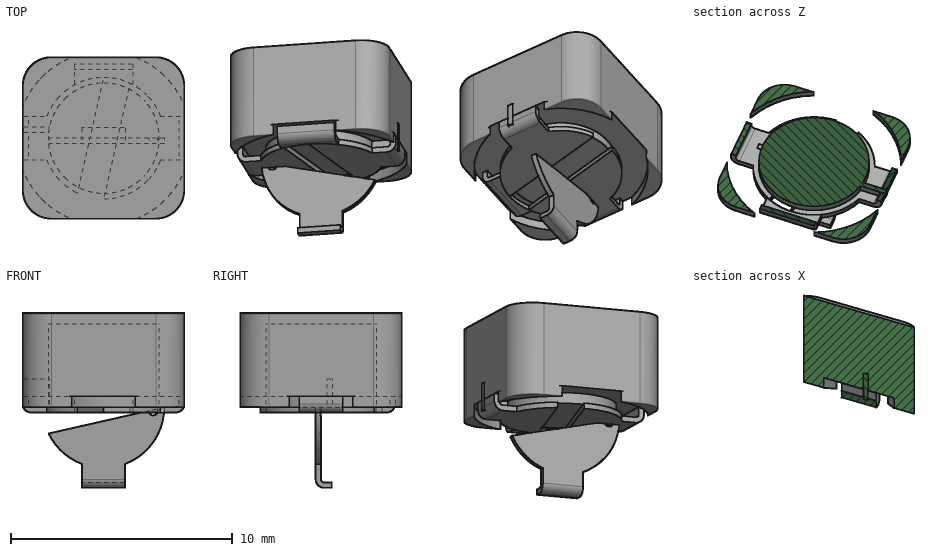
import cadquery as cq
import math

side = 7.3
height = 4.25
corner_radius = 1.3
rim_radius = 0.03
roof_thickness = 0.5
recess_diameter = 7.85
recess_height = 0.49
half_side = side / 2

core_diameter = 5.0
core_height = height - roof_thickness
key_thickness = 0.25
key_height = 1.28
key_y = 0.375

sheet = 0.25
bend_radius = 0.4
disc_radius = 2.75
tab_width = 1.96
tab_root = disc_radius - tab_width / 2
tip_top = recess_height
chord_corner_y = -2.48
wire_notch_radius = 0.2
wire_notch_x = -0.17
wire_notch_y = 2.24

clip_width = 2.64
clip_reach = 3.35


def make_core():
    """Round core with a thin locating key that runs out to the -X face of the housing."""
    core = cq.Workplane("XY").circle(core_diameter / 2).extrude(core_height)
    return core.union(make_key())


def make_key():
    """Thin upright bar from the axis of the core to the -X face of the housing."""
    key = cq.Workplane("XY").box(half_side, key_thickness, key_height, centered=(False, True, False))
    return key.translate((-half_side, key_y, 0))


def make_housing(core):
    """Cap with a blind cavity that fits the core, above a wide round recess.

    The recess is wider than the cap, so it opens a notch in the middle of each wall.
    """
    block = cq.Workplane("XY").rect(side, side).extrude(height)
    block = block.edges("|Z").fillet(corner_radius)
    block = block.faces("<Z or >Z").edges().fillet(rim_radius)
    recess = cq.Workplane("XY").circle(recess_diameter / 2).extrude(recess_height)
    return block.cut(recess).cut(core)


def make_tab(width, reach, root):
    """Strip along -X from x = -root to x = -reach, with its end bent upward."""
    inner_radius = bend_radius - sheet
    inner_face = sheet - reach
    return (
        cq.Workplane("XZ")
        .moveTo(-root, -sheet)
        .lineTo(bend_radius - reach, -sheet)
        .radiusArc((-reach, bend_radius - sheet), bend_radius)
        .lineTo(-reach, tip_top)
        .lineTo(inner_face, tip_top)
        .lineTo(inner_face, inner_radius)
        .radiusArc((inner_face + inner_radius, 0), -inner_radius)
        .lineTo(-root, 0)
        .close()
        .extrude(width / 2, both=True)
    )


def make_terminal():
    """Flat disc segment under the housing, with a bent tab on its -X side."""
    chord_corner_x = -math.sqrt(disc_radius**2 - chord_corner_y**2)
    plate = (
        cq.Workplane("XY")
        .moveTo(chord_corner_x, chord_corner_y)
        .lineTo(0, disc_radius)
        .threePointArc((-disc_radius, 0), (chord_corner_x, chord_corner_y))
        .close()
        .extrude(-sheet)
    )
    return plate.union(make_tab(tab_width, half_side, tab_root))


def make_wire_notch():
    """Round cutter that opens through the straight edge of a terminal."""
    return cq.Workplane("XY").center(wire_notch_x, wire_notch_y).circle(wire_notch_radius).extrude(-sheet)


def stand_up(body):
    """Turn a flat terminal so that its tab points to -Z and its bent tip to +Y."""
    return body.rotate((0, 0, 0), (1, 1, 1), -120)


def make_clip():
    """Bent tab on the +Y side that butts against the round edge of the terminals."""
    tab = make_tab(clip_width, clip_reach, tab_root)
    disc = cq.Workplane("XY").circle(disc_radius).extrude(-sheet)
    return tab.cut(disc).rotate((0, 0, 0), (0, 0, 1), -90)


core = make_core()
housing = make_housing(core)
terminal = make_terminal()

upright_blade = stand_up(terminal)
upright_terminal = upright_blade.cut(stand_up(make_wire_notch()))

flat_terminals = []
for angle in (0, 180):
    turned = terminal.rotate((0, 0, 0), (0, 0, 1), angle)
    flat_terminals.append(turned.cut(core).cut(upright_blade))

clip = make_clip()

result = cq.Compound.makeCompound(
    [
        housing.val(),
        core.val(),
        *[flat.val() for flat in flat_terminals],
        upright_terminal.val(),
        clip.val(),
    ]
)